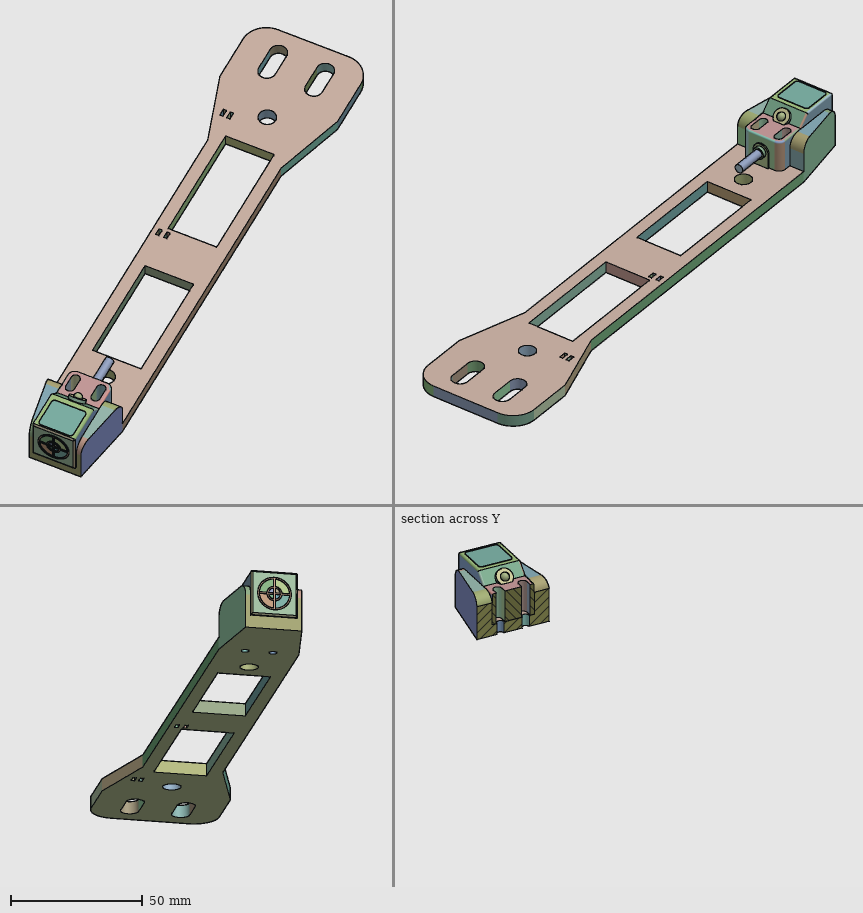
import cadquery as cq


plate_rear = 225.8
plate_front = 1.4
plate_thickness = 5.0
head_width = 50.0
head_corner_radius = 10.0
head_straight_length = 30.0
taper_end_from_rear = 59.8
neck_width = 31.2
tip_width = 22.0
wall_rear = 28.2

mount_slot_width = 7.0
mount_slot_length = 17.0
mount_slot_spacing = 19.9
mount_slot_from_rear = 15.0
round_hole_diameter = 7.0
round_holes_from_rear = [40.0, 180.0]
window_width = 20.5
windows_from_rear = [(55.0, 105.0), (125.0, 170.7)]
rear_tie_slot_size = (1.4, 3.2)
rear_tie_slot_centers = [(-16.0, 45.4), (-13.0, 45.4)]
middle_tie_slot_size = (1.4, 3.0)
middle_tie_slot_centers = [(-12.6, 108.1), (-9.3, 108.1)]

wall_top = 18.0
wall_corner_radius = 5.0

screw_spacing = 10.8
screw_y = 28.0
screw_hole_diameter = 3.0
sensor_slot_width = 3.5
sensor_slot_length = 8.4

sensor_width = 18.0
sensor_rear = 34.0
sensor_top = 22.8
sensor_low_top = 18.3
ramp_top_y = 16.7
ramp_rise = sensor_top - sensor_low_top
ramp_foot_y = ramp_top_y + ramp_rise
rear_corner_radius = 3.0
face_chamfer = 0.7
top_edge_radius = 0.7

label_width = 14.5
label_front = 1.4
label_rear = 14.5
label_corner_radius = 1.4
recess_depth = 0.2

target_diameter = 13.0
target_inner_diameter = 5.9
target_line_width = 0.7

collar_diameter = 7.0
collar_height = 1.4
collar_rise = 1.0
dome_diameter = 3.5

cable_z = 11.5
boss_diameter = 7.0
boss_rear = 34.8
gland_diameter = 5.0
gland_rear = 36.4
cable_diameter = 3.5
cable_end = 48.8


def box_between(x_low, x_high, y_low, y_high, z_low, z_high):
    """A box given by its limits along the three axes."""
    size = (x_high - x_low, y_high - y_low, z_high - z_low)
    return cq.Workplane("XY").box(*size, centered=False).translate((x_low, y_low, z_low))


def rod_along_y(diameter, y_start, y_end):
    """A round rod on the axis of the cable."""
    return (
        cq.Workplane("XZ", origin=(0, y_start, cable_z))
        .circle(diameter / 2)
        .extrude(y_start - y_end)
    )


def make_bracket_blank():
    """The plan outline of the bracket, extruded to the height of its side walls."""
    right_side = [
        (tip_width / 2, plate_front),
        (neck_width / 2, wall_rear),
        (neck_width / 2, plate_rear - taper_end_from_rear),
        (head_width / 2, plate_rear - head_straight_length),
        (head_width / 2, plate_rear),
    ]
    left_side = [(-x, y) for x, y in reversed(right_side)]
    return (
        cq.Workplane("XY")
        .polyline(right_side + left_side)
        .close()
        .extrude(wall_top)
        .edges("|Z and >Y")
        .fillet(head_corner_radius)
    )


def make_bracket_profile():
    """The side outline: a thin plate with round-cornered walls at the front."""
    plate = box_between(-head_width, head_width, plate_front, plate_rear, 0, plate_thickness)
    walls = (
        box_between(-head_width, head_width, plate_front, wall_rear, 0, wall_top)
        .edges("|X and >Z")
        .fillet(wall_corner_radius)
    )
    return plate.union(walls)


def make_plate_openings():
    """All the cutters that pass through the plate."""
    cutter = (
        cq.Workplane("XY")
        .center(0, plate_rear - mount_slot_from_rear)
        .rarray(mount_slot_spacing, 2.3, 2, 1)
        .slot2D(mount_slot_length, mount_slot_width, 90)
        .extrude(plate_thickness)
    )
    round_holes = (
        cq.Workplane("XY")
        .pushPoints([(0, plate_rear - distance) for distance in round_holes_from_rear])
        .circle(round_hole_diameter / 2)
        .extrude(plate_thickness)
    )
    screw_holes = (
        cq.Workplane("XY")
        .center(0, screw_y)
        .rarray(screw_spacing, 2.3, 2, 1)
        .circle(screw_hole_diameter / 2)
        .extrude(plate_thickness)
    )
    cutter = cutter.union(round_holes).union(screw_holes)
    for start, end in windows_from_rear:
        window = box_between(
            -window_width / 2, window_width / 2,
            plate_rear - end, plate_rear - start,
            0, plate_thickness,
        )
        cutter = cutter.union(window)
    for size, centers in [
        (rear_tie_slot_size, rear_tie_slot_centers),
        (middle_tie_slot_size, middle_tie_slot_centers),
    ]:
        tie_slots = (
            cq.Workplane("XY")
            .pushPoints([(x, plate_rear - distance) for x, distance in centers])
            .rect(*size)
            .extrude(plate_thickness)
        )
        cutter = cutter.union(tie_slots)
    return cutter


def make_bracket():
    """The mounting bracket with the channel that the sensor sits in."""
    channel = box_between(
        -sensor_width / 2, sensor_width / 2, 0, wall_rear, plate_thickness, wall_top
    )
    return (
        make_bracket_blank()
        .intersect(make_bracket_profile())
        .cut(channel)
        .cut(make_plate_openings())
    )


def make_sensor_housing():
    """The stepped sensor block with its ramp, rounded edges and chamfered sensing face."""
    side_outline = [
        (0, plate_thickness),
        (sensor_rear, plate_thickness),
        (sensor_rear, sensor_low_top),
        (ramp_foot_y, sensor_low_top),
        (ramp_top_y, sensor_top),
        (0, sensor_top),
    ]
    top_rim = cq.selectors.BoxSelector(
        (-sensor_width, face_chamfer, sensor_low_top - top_edge_radius),
        (sensor_width, sensor_rear + face_chamfer, sensor_top + top_edge_radius),
    ) - cq.StringSyntaxSelector("|X")
    rear_edge = cq.selectors.NearestToPointSelector((0, sensor_rear, sensor_low_top))
    return (
        cq.Workplane("YZ")
        .polyline(side_outline)
        .close()
        .extrude(sensor_width / 2, both=True)
        .edges("|Z and >Y")
        .fillet(rear_corner_radius)
        .edges(top_rim + rear_edge)
        .fillet(top_edge_radius)
        .faces("<Y")
        .chamfer(face_chamfer)
    )


def make_sensor_slots():
    """The two adjustment slots through the low part of the sensor."""
    return (
        cq.Workplane("XY", origin=(0, screw_y, plate_thickness))
        .rarray(screw_spacing, 2.3, 2, 1)
        .slot2D(sensor_slot_length, sensor_slot_width, 90)
        .extrude(sensor_low_top - plate_thickness)
    )


def make_label_recess():
    """The shallow round-cornered recess on the top face."""
    return (
        box_between(
            -label_width / 2, label_width / 2,
            label_front, label_rear,
            sensor_top - recess_depth, sensor_top,
        )
        .edges("|Z")
        .fillet(label_corner_radius)
    )


def make_target_mark():
    """The cutter for two rings and a cross, centred on the sensing face."""
    face_center = cq.Workplane("XZ", origin=(0, recess_depth, (plate_thickness + sensor_top) / 2))
    mark = face_center.rect(target_diameter, target_line_width).extrude(recess_depth)
    mark = mark.union(face_center.rect(target_line_width, target_diameter).extrude(recess_depth))
    for diameter in (target_diameter, target_inner_diameter):
        ring = (
            face_center.circle(diameter / 2)
            .circle(diameter / 2 - target_line_width)
            .extrude(recess_depth)
        )
        mark = mark.union(ring)
    return mark


def make_indicator():
    """The round collar and dome that stand square to the ramp near its foot."""
    center = (0, ramp_foot_y - collar_rise, sensor_low_top + collar_rise)
    ramp_plane = cq.Plane(origin=center, xDir=(1, 0, 0), normal=(0, 1, 1))
    collar = cq.Workplane(ramp_plane).circle(collar_diameter / 2).extrude(collar_height)
    dome = cq.Workplane(ramp_plane).workplane(offset=collar_height).sphere(dome_diameter / 2)
    return collar.union(dome)


def make_cable_exit():
    """The arched boss, the gland and the cable, one behind the other."""
    boss = rod_along_y(boss_diameter, sensor_rear, boss_rear)
    boss_foot = box_between(
        -boss_diameter / 2, boss_diameter / 2, sensor_rear, boss_rear, plate_thickness, cable_z
    )
    gland = rod_along_y(gland_diameter, boss_rear, gland_rear)
    cable = rod_along_y(cable_diameter, gland_rear, cable_end)
    return boss.union(boss_foot).union(gland).union(cable)


def make_sensor():
    """The sensor with its indicator, its slots, its recessed marks and its cable."""
    return (
        make_sensor_housing()
        .union(make_indicator())
        .union(make_cable_exit())
        .cut(make_sensor_slots())
        .cut(make_label_recess())
        .cut(make_target_mark())
    )


bracket = make_bracket()
sensor = make_sensor()
result = cq.Compound.makeCompound([bracket.val(), sensor.val()])